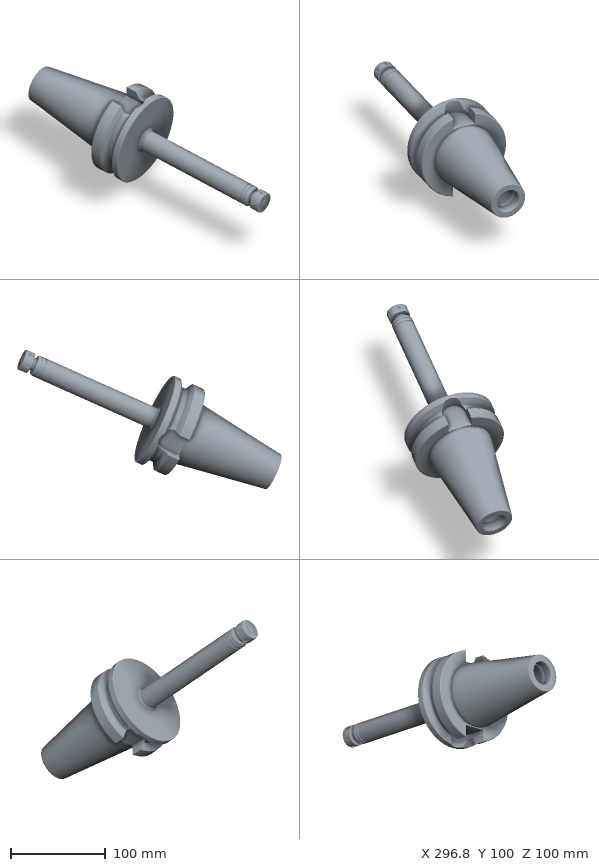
import cadquery as cq
import math

taper_end = 101.8
neck_start = 103.0
flange_front = 104.8
flange_back = 139.8
shank_end = 281.5
nut_start = 285.8
nut_end = 296.2
total_length = 296.8

taper_small_radius = 40.5 / 2
taper_large_radius = 69.7 / 2
taper_end_chamfer = 0.5
neck_chamfer = 0.5
neck_radius = taper_large_radius - neck_chamfer

flange_radius = 100.0 / 2
flange_front_chamfer = 1.0
flange_back_chamfer = 0.5
groove_start = 117.2
groove_floor_radius = 85.0 / 2
groove_floor_width = 6.5
groove_side_angle = 30
groove_side = (flange_radius - groove_floor_radius) * math.tan(math.radians(groove_side_angle))
groove_end = groove_start + 2 * groove_side + groove_floor_width
face_recess_radius = 73.5 / 2
face_recess_depth = 0.5

slot_width = 25.8
slot_floor = 35.3
slot_end = 135.0

shank_radius = 23.0 / 2
shank_root_chamfer = 2.5
shank_end_taper_length = 2.0
shank_end_radius = 21.0 / 2
ring_groove_depth = 0.75
ring_groove_width = 1.2
ring_groove_starts = (272.2, 276.5)

collet_neck_radius = 14.0 / 2
nut_radius = shank_radius
nut_edge_taper_length = 1.0
nut_face_radius = 22.3 / 2
collet_radius = 8.5 / 2
dimple_count = 6
dimple_center = 290.0
dimple_length = 7.0
dimple_width = 4.5
dimple_depth = 1.2

bore_mouth_radius = 26.7 / 2
bore_mouth_chamfer = 1.0
counterbore_radius = bore_mouth_radius - bore_mouth_chamfer
counterbore_depth = 10.0
counterbore_floor_radius = 22.5 / 2
thread_chamfer_depth = 1.8
thread_radius = 21.0 / 2
thread_depth = 59.5
drill_tip_angle = 120
pocket_radius = 8.5 / 2
pocket_length = 9.0
pocket_seat_radius = 5.5 / 2
pocket_seat_length = 1.5
nozzle_radius = 3.5 / 2
nozzle_length = 6.0
coolant_radius = 1.7 / 2
coolant_length = 6.0

overshoot = 3.0


def revolve(points):
    """Revolve an (x, radius) outline about the X axis."""
    return cq.Workplane("XY").polyline(points).close().revolve(360, (0, 0, 0), (1, 0, 0))


def body():
    """Solid of revolution from the taper to the collet, without the bore."""
    recess_floor = flange_front + face_recess_depth
    return revolve([
        (0, 0),
        (0, taper_small_radius - taper_end_chamfer),
        (taper_end_chamfer, taper_small_radius),
        (taper_end, taper_large_radius),
        (neck_start, taper_large_radius),
        (neck_start + neck_chamfer, neck_radius),
        (recess_floor, neck_radius),
        (recess_floor, face_recess_radius),
        (flange_front, face_recess_radius),
        (flange_front, flange_radius - flange_front_chamfer),
        (flange_front + flange_front_chamfer, flange_radius),
        (groove_start, flange_radius),
        (groove_start + groove_side, groove_floor_radius),
        (groove_end - groove_side, groove_floor_radius),
        (groove_end, flange_radius),
        (flange_back - flange_back_chamfer, flange_radius),
        (flange_back, flange_radius - flange_back_chamfer),
        (flange_back, shank_radius + shank_root_chamfer),
        (flange_back + shank_root_chamfer, shank_radius),
        (shank_end - shank_end_taper_length, shank_radius),
        (shank_end, shank_end_radius),
        (shank_end, collet_neck_radius),
        (nut_start, collet_neck_radius),
        (nut_start, nut_radius),
        (nut_end - nut_edge_taper_length, nut_radius),
        (nut_end, nut_face_radius),
        (nut_end, collet_radius),
        (total_length, collet_radius),
        (total_length, 0),
    ])


def bore():
    """Stepped bore: counterbore, thread hole, drill-point cone and coolant passage."""
    tip_length = (thread_radius - pocket_radius) / math.tan(math.radians(drill_tip_angle / 2))
    tip_end = thread_depth + tip_length
    pocket_end = tip_end + pocket_length
    seat_end = pocket_end + pocket_seat_length
    nozzle_end = seat_end + nozzle_length
    coolant_end = nozzle_end + coolant_length
    return revolve([
        (0, 0),
        (0, bore_mouth_radius),
        (bore_mouth_chamfer, counterbore_radius),
        (counterbore_depth, counterbore_radius),
        (counterbore_depth, counterbore_floor_radius),
        (counterbore_depth + thread_chamfer_depth, thread_radius),
        (thread_depth, thread_radius),
        (tip_end, pocket_radius),
        (pocket_end, pocket_radius),
        (pocket_end, pocket_seat_radius),
        (seat_end, pocket_seat_radius),
        (seat_end, nozzle_radius),
        (nozzle_end, nozzle_radius),
        (nozzle_end, coolant_radius),
        (coolant_end, coolant_radius),
        (coolant_end, 0),
    ])


def ring_groove(start):
    """Shallow square groove around the shank."""
    ring = cq.Workplane("YZ", origin=(start, 0, 0)).circle(shank_radius + overshoot)
    return ring.circle(shank_radius - ring_groove_depth).extrude(ring_groove_width)


def drive_slot():
    """Round-ended slot on the +Z side, open toward the taper."""
    round_center = slot_end - slot_width / 2
    straight_length = round_center - neck_start
    height = flange_radius - slot_floor + overshoot
    floor = cq.Workplane("XY", origin=(round_center, 0, slot_floor))
    straight = floor.center(-straight_length / 2, 0).rect(straight_length, slot_width).extrude(height)
    return floor.circle(slot_width / 2).extrude(height).union(straight)


def nut_dimple():
    """Flat-floored oval pocket on the +Z side of the nut."""
    floor = cq.Workplane("XY", origin=(dimple_center, 0, nut_radius - dimple_depth))
    return floor.ellipse(dimple_length / 2, dimple_width / 2).extrude(dimple_depth + overshoot)


def around_axis(shape, angle):
    """Turn a shape about the X axis."""
    return shape.rotate((0, 0, 0), (1, 0, 0), angle)


result = body().cut(bore())
for groove_position in ring_groove_starts:
    result = result.cut(ring_groove(groove_position))
for slot_angle in (0, 180):
    result = result.cut(around_axis(drive_slot(), slot_angle))
for dimple_index in range(dimple_count):
    result = result.cut(around_axis(nut_dimple(), dimple_index * 360 / dimple_count))